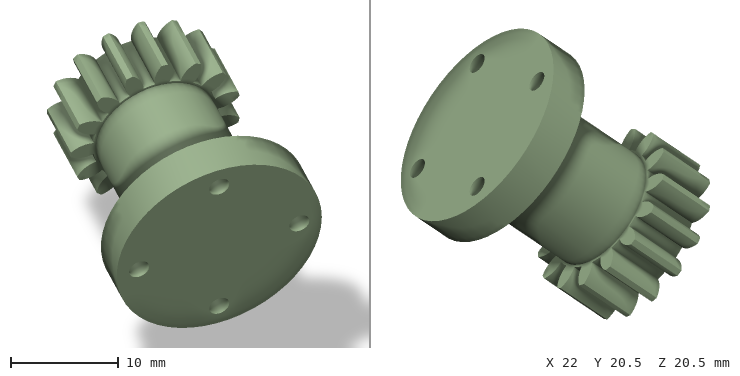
import cadquery as cq
import math

total_length = 22.0
pinion_width = 6.0
flange_thickness = 4.0
flange_diameter = 20.5
shaft_diameter = 12.0

tooth_count = 15
pitch_radius = 7.5
addendum = 1.0
dedendum = 1.25
tip_radius = pitch_radius + addendum
root_radius = pitch_radius - dedendum
root_half_width = 0.73
flank_half_width = 0.77
tip_half_width = 0.3
tooth_overlap = 0.45

flange_hole_count = 4
flange_hole_diameter = 2.0
flange_hole_circle_radius = 8.0

counterbore_diameter = 6.2
counterbore_depth = 1.5
bore_diameter = 4.14
bore_depth = 12.0
drill_point_angle = 118.0


def cylinder(diameter, start, length):
    """Cylinder on the X axis, growing toward +X from the given start."""
    return cq.Workplane("YZ", origin=(start, 0, 0)).circle(diameter / 2).extrude(length)


def make_tooth():
    """One tooth pointing along -Y, with curved flanks and a cylindrical tip."""
    buried_radius = root_radius - tooth_overlap
    root_y = -math.sqrt(root_radius**2 - root_half_width**2)
    tip_y = -math.sqrt(tip_radius**2 - tip_half_width**2)
    return (
        cq.Workplane("YZ")
        .moveTo(-buried_radius, root_half_width)
        .lineTo(root_y, root_half_width)
        .threePointArc((-pitch_radius, flank_half_width), (tip_y, tip_half_width))
        .threePointArc((-tip_radius, 0), (tip_y, -tip_half_width))
        .threePointArc((-pitch_radius, -flank_half_width), (root_y, -root_half_width))
        .lineTo(-buried_radius, -root_half_width)
        .close()
        .extrude(pinion_width)
    )


def make_pinion():
    pinion = cylinder(2 * root_radius, 0, pinion_width)
    tooth = make_tooth()
    for index in range(tooth_count):
        angle = index * 360 / tooth_count
        pinion = pinion.union(tooth.rotate((0, 0, 0), (1, 0, 0), angle))
    return pinion


def make_flange():
    flange_start = total_length - flange_thickness
    flange = cylinder(flange_diameter, flange_start, flange_thickness)
    holes = (
        cq.Workplane("YZ", origin=(flange_start, 0, 0))
        .polarArray(flange_hole_circle_radius, 0, 360, flange_hole_count)
        .circle(flange_hole_diameter / 2)
        .extrude(flange_thickness)
    )
    return flange.cut(holes)


def make_bore():
    """Revolved cutter: counterbore, bore and conical drill point."""
    bore_radius = bore_diameter / 2
    counterbore_radius = counterbore_diameter / 2
    point_length = bore_radius / math.tan(math.radians(drill_point_angle / 2))
    return (
        cq.Workplane("XY")
        .moveTo(0, 0)
        .lineTo(0, counterbore_radius)
        .lineTo(counterbore_depth, counterbore_radius)
        .lineTo(counterbore_depth, bore_radius)
        .lineTo(bore_depth, bore_radius)
        .lineTo(bore_depth + point_length, 0)
        .close()
        .revolve(360, (0, 0, 0), (1, 0, 0))
    )


shaft_length = total_length - pinion_width - flange_thickness
shaft = cylinder(shaft_diameter, pinion_width, shaft_length)
result = make_pinion().union(shaft).union(make_flange()).cut(make_bore())